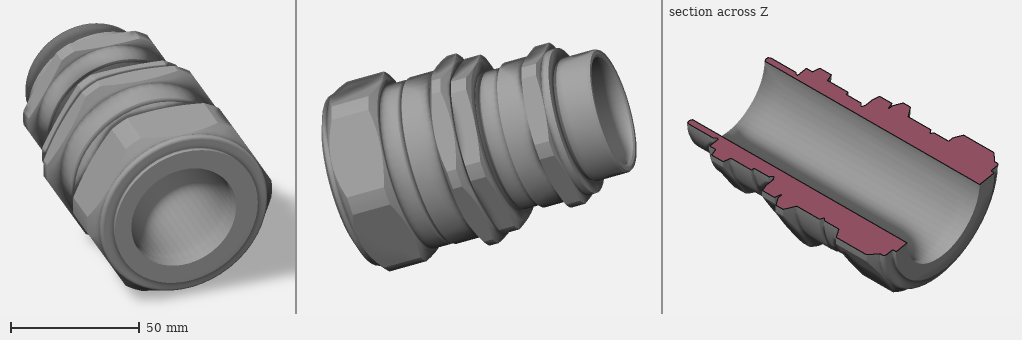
import cadquery as cq
import math

length = 110.3
end_offset = 1.1

bore_radius = 21.8
bore_chamfer_length = 0.5
bore_chamfer_depth = 1.0

thread_radius = 24.9
thread_end = 13.9
thread_chamfer_length = 1.1
thread_chamfer_depth = 0.5
runout_end = 15.4
runout_radius = 24.0

collar_radius = 29.3
collar_end = 37.1
neck_radius = 27.9
neck_end = 44.7
neck_groove_bottom = 46.0
neck_groove_end = 46.7
neck_groove_depth = 1.5

sleeve_radius = 33.8
sleeve_end = 75.5
rear_sleeve_radius = 33.2
rear_sleeve_start = 77.4
groove_radius = 32.0
groove_bottom = 76.4

lock_nut_start = 18.5
lock_nut_end = 26.4
lock_nut_flats = 59.6
lock_nut_corners = 65.5

body_nut_start = 46.8
body_nut_end = 54.9
body_nut_flats = 64.5
body_nut_corners = 71.0

middle_nut_start = body_nut_end
middle_nut_end = 63.8
end_nut_start = 84.8
end_nut_end = 106.2
large_nut_flats = 70.2
large_nut_corners = 77.1

small_chamfer = (0.9, 3.3)
large_chamfer = (2.2, 4.0)
middle_rear_chamfer = (2.8, 4.7)
end_rear_chamfer = (3.6, 3.8)

rim_radius = 34.7
rim_end = 108.5
rim_fillet = 1.2
lip_radius = 29.8


def revolve_about_x(points):
    """Revolve an outline of (x, radius) points about the X axis."""
    return cq.Workplane("XY").polyline(points).close().revolve(360, (0, 0, 0), (1, 0, 0))


def cylinder(start, end, radius):
    """Round bar on the X axis from start to end."""
    return cq.Workplane("YZ").workplane(offset=start).circle(radius).extrude(end - start)


def hex_nut(start, end, flats, corners, front_chamfer, rear_chamfer):
    """Hexagon with flats facing +Z and -Z, its corners turned round and coned at both ends."""
    circumscribed = flats / math.cos(math.pi / 6)
    hexagon = cq.Workplane("YZ").workplane(offset=start).polygon(6, circumscribed).extrude(end - start)
    radius = corners / 2
    front_length, front_depth = front_chamfer
    rear_length, rear_depth = rear_chamfer
    turned = revolve_about_x([
        (start, 0),
        (start, radius - front_depth),
        (start + front_length, radius),
        (end - rear_length, radius),
        (end, radius - rear_depth),
        (end, 0),
    ])
    return hexagon.intersect(turned)


body = revolve_about_x([
    (0, 0),
    (0, thread_radius - thread_chamfer_depth),
    (thread_chamfer_length, thread_radius),
    (thread_end, thread_radius),
    (thread_end + thread_radius - runout_radius, runout_radius),
    (runout_end, runout_radius),
    (runout_end, collar_radius),
    (collar_end, collar_radius),
    (collar_end, neck_radius),
    (neck_end, neck_radius),
    (neck_groove_bottom, neck_radius - neck_groove_depth),
    (neck_groove_end, neck_radius),
    (middle_nut_start, neck_radius),
    (middle_nut_start, sleeve_radius),
    (sleeve_end, sleeve_radius),
    (groove_bottom, groove_radius),
    (rear_sleeve_start, rear_sleeve_radius),
    (end_nut_start, rear_sleeve_radius),
    (end_nut_start, 0),
])

lock_nut = hex_nut(
    lock_nut_start, lock_nut_end, lock_nut_flats, lock_nut_corners, small_chamfer, small_chamfer
)
body_nut = hex_nut(
    body_nut_start, body_nut_end, body_nut_flats, body_nut_corners, small_chamfer, small_chamfer
)
middle_nut = hex_nut(
    middle_nut_start, middle_nut_end, large_nut_flats, large_nut_corners,
    large_chamfer, middle_rear_chamfer,
)

end_nut = hex_nut(
    end_nut_start, end_nut_end, large_nut_flats, large_nut_corners, large_chamfer, end_rear_chamfer
)
rim = cylinder(end_nut_end, rim_end, rim_radius).faces(">X").edges().fillet(rim_fillet)
lip = cylinder(rim_end, length, lip_radius)
end_assembly = end_nut.union(rim).union(lip).translate((0, end_offset, 0))

bore = revolve_about_x([
    (0, 0),
    (0, bore_radius + bore_chamfer_depth),
    (bore_chamfer_length, bore_radius),
    (length, bore_radius),
    (length, 0),
])

result = body.union(lock_nut).union(body_nut).union(middle_nut).union(end_assembly).cut(bore)